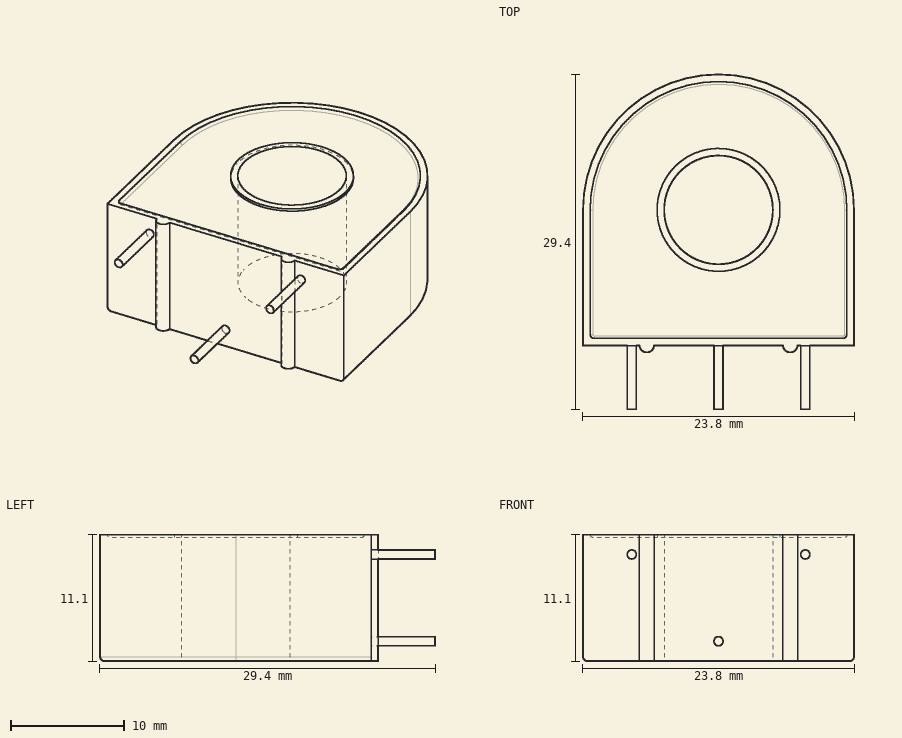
import cadquery as cq

case_width = 23.82
case_height = 11.12
case_radius = case_width / 2
front_y = -case_radius
bottom_edge_radius = 0.4

rim_width = 0.635
recess_depth = 0.23
recess_corner_radius = 0.35
recess_floor_fillet = 0.22

bore_diameter = 9.53
collar_diameter = 10.8

rib_radius = 0.65
rib_inset = 0.04
rib_offset_x = 6.3

overall_length = 29.43
pin_diameter = 0.8
pin_pitch = 7.62
pin_length = overall_length - 2 * case_radius
pin_embed = 0.5
lower_pin_z = (case_height - pin_pitch) / 2
upper_pin_z = lower_pin_z + pin_pitch
pin_positions = [(-pin_pitch, upper_pin_z), (pin_pitch, upper_pin_z), (0, lower_pin_z)]


def d_shaped_prism(radius, base_z, height):
    """Half disc behind the bore axis joined to a half square in front of it."""
    return (
        cq.Workplane("XY", origin=(0, 0, base_z))
        .moveTo(-radius, -radius)
        .lineTo(radius, -radius)
        .lineTo(radius, 0)
        .threePointArc((0, radius), (-radius, 0))
        .close()
        .extrude(height)
    )


def make_case():
    """Solid block, with the bottom edge rounded along the sides and back only."""
    block = d_shaped_prism(case_radius, 0, case_height)
    return block.faces("<Z").edges("not <Y").fillet(bottom_edge_radius)


def make_recess():
    """Volume removed from the top face, ending at the collar."""
    floor_z = case_height - recess_depth
    pocket = d_shaped_prism(case_radius - rim_width, floor_z, recess_depth)
    pocket = pocket.edges("|Z and <Y").fillet(recess_corner_radius)
    pocket = pocket.faces("<Z").edges().fillet(recess_floor_fillet)
    collar = (
        cq.Workplane("XY", origin=(0, 0, floor_z))
        .circle(collar_diameter / 2)
        .extrude(recess_depth)
    )
    return pocket.cut(collar)


def make_bore():
    return cq.Workplane("XY").circle(bore_diameter / 2).extrude(case_height)


def make_ribs():
    """Cylinders centred just behind the front face, so nearly half of each stands proud."""
    centre_y = front_y + rib_inset
    return (
        cq.Workplane("XY")
        .pushPoints([(-rib_offset_x, centre_y), (rib_offset_x, centre_y)])
        .circle(rib_radius)
        .extrude(case_height)
    )


def make_pins():
    """Round pins pointing toward -Y, rooted slightly inside the case."""
    return (
        cq.Workplane("XZ", origin=(0, front_y + pin_embed, 0))
        .pushPoints(pin_positions)
        .circle(pin_diameter / 2)
        .extrude(pin_length + pin_embed)
    )


result = make_case().union(make_ribs()).cut(make_recess()).cut(make_bore()).union(make_pins())